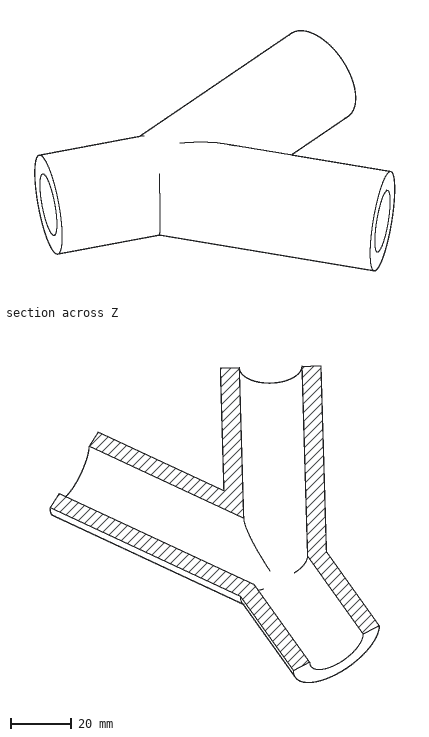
import cadquery as cq
import math

outer_diameter = 33.4
bore_diameter = 20.7
overall_length = 112.4
branch_length = 76.2
branch_angle = 30.0

tilt = math.radians(branch_angle)
branch_reach = branch_length * math.cos(tilt) + outer_diameter / 2 * math.sin(tilt)
stem_length = overall_length - branch_reach


def rod(diameter, length, direction):
    """Solid cylinder running from the origin along the given direction."""
    return cq.Workplane(cq.Solid.makeCylinder(diameter / 2, length, cq.Vector(0, 0, 0), direction))


def wye(diameter):
    """Stem and two branches of one diameter, joined at the origin."""
    body = rod(diameter, stem_length, cq.Vector(0, -1, 0))
    for side in (-1, 1):
        direction = cq.Vector(side * math.sin(tilt), math.cos(tilt), 0)
        body = body.union(rod(diameter, branch_length, direction))
    return body


result = wye(outer_diameter).cut(wye(bore_diameter))